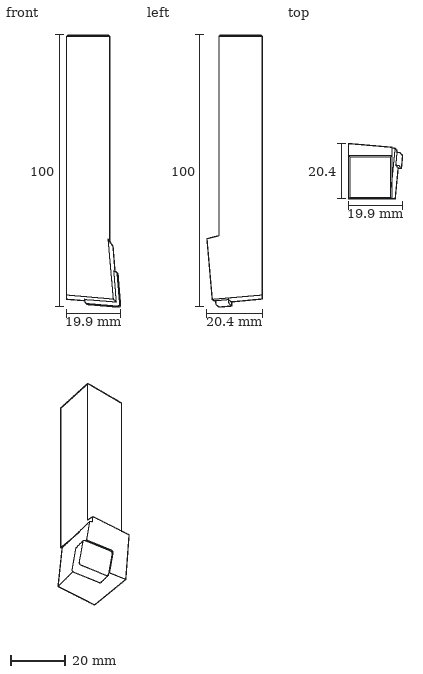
import cadquery as cq
import math

LENGTH = 100.0
SHANK = 16.0
END_CHAMFER = 0.5
TILT = 5.0
SLOPE = math.tan(math.radians(TILT))
RAKE_NORMAL = (SLOPE, 1, -SLOPE)

FLOOR_Z = 4.5
HEEL_Y = 20.4
HEEL_Z = 25.2
HEEL_RISE = 1.1
LEDGE_X = 15.3
LEDGE_Z = 25.0
LEDGE_SLOPE = 0.5
BLOCK = 30.0
CUTTER = 200.0

INSERT_EDGE = 12.9
INSERT_ANGLE = 80.0
INSERT_THICKNESS = 4.8
CORNER_RADIUS = 0.8
NOSE = (19.6, 11.1, 0.34)


def half_space(point, normal):
    """Large block on the side of a plane that its normal points to."""
    plane = cq.Plane(origin=point, normal=normal)
    return cq.Workplane(plane).rect(CUTTER, CUTTER).extrude(CUTTER)


def block(x, y, z):
    """Block with one corner at the origin."""
    return cq.Workplane("XY").box(x, y, z, centered=False)


def rhombus_prism(height):
    """Insert outline raised from its seat, with the nose pointing to +X and -Z."""
    bisector = (-1, 2 * SLOPE, 1)
    seat = cq.Plane(origin=NOSE, xDir=bisector, normal=RAKE_NORMAL)
    half_angle = math.radians(INSERT_ANGLE / 2)
    along = INSERT_EDGE * math.cos(half_angle)
    across = INSERT_EDGE * math.sin(half_angle)
    outline = [(0, 0), (along, across), (2 * along, 0), (along, -across)]
    prism = cq.Workplane(seat).polyline(outline).close().extrude(height)
    corners = cq.selectors.ParallelDirSelector(seat.zDir)
    return prism.edges(corners).fillet(CORNER_RADIUS)


def make_holder():
    """Square shank with a relieved head and an open pocket for the insert."""
    shank = block(SHANK, SHANK, LENGTH).faces(">Z").chamfer(END_CHAMFER)

    shoulder_normal = (0, HEEL_RISE, HEEL_Y - SHANK)
    heel = block(SHANK, BLOCK, BLOCK).cut(half_space((0, HEEL_Y, HEEL_Z), shoulder_normal))

    above_ledge = half_space((LEDGE_X, 0, LEDGE_Z), (LEDGE_SLOPE, SLOPE, 1))
    side = block(BLOCK, BLOCK, BLOCK).translate((SHANK, 0, 0)).cut(above_ledge)
    holder = shank.union(heel).union(side)

    flank = half_space((LEDGE_X, 0, LEDGE_Z), (1, -SLOPE, SLOPE)).cut(above_ledge)
    end_face = half_space((0, 0, FLOOR_Z), (-SLOPE, -SLOPE, -1))
    rake_face = half_space((0, HEEL_Y, HEEL_Z), RAKE_NORMAL)
    holder = holder.cut(flank).cut(end_face).cut(rake_face)

    return holder.cut(rhombus_prism(2 * INSERT_THICKNESS))


def make_insert():
    """Rhombic cutting insert resting on the pocket seat."""
    return rhombus_prism(INSERT_THICKNESS)


holder = make_holder().solids()
insert = make_insert()
result = cq.Compound.makeCompound([holder.val(), insert.val()])